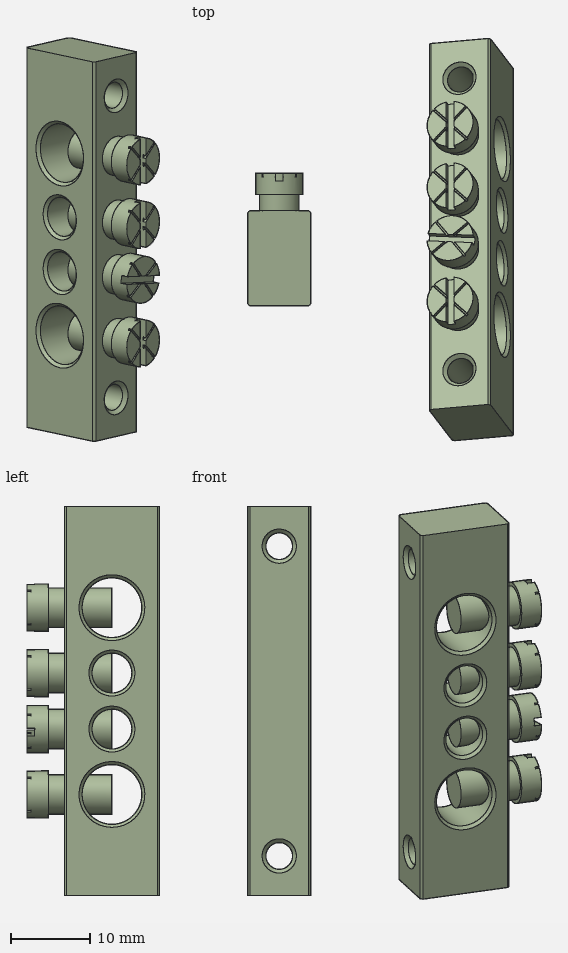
import cadquery as cq


block_width = 8.0
block_depth = 12.0
block_length = 49.0
edge_chamfer = 0.3

mount_diameter = 3.35
mount_chamfer = 0.5
mount_end_distance = 5.0
mount_z = block_length / 2 - mount_end_distance

large_wire_diameter = 7.5
small_wire_diameter = 5.0
wire_chamfer = 0.4
outer_station_z = 11.75
inner_station_z = 3.55

shank_diameter = 5.0
head_diameter = 6.0
head_length = 2.7
screw_tip_y = 0.0
overall_depth = 16.7
screw_top_y = overall_depth - block_depth / 2
slot_width = 1.0
slot_depth = 1.0
tick_width = 0.25
tick_depth = 0.5
tick_angles = (45, -45)

stations = [
    (outer_station_z, large_wire_diameter, 0),
    (inner_station_z, small_wire_diameter, 0),
    (-inner_station_z, small_wire_diameter, 82.5),
    (-outer_station_z, large_wire_diameter, 0),
]


def cylinder_along_y(diameter, y_start, y_end):
    """Cylinder on the Y axis between two Y positions."""
    return cq.Workplane("XZ", origin=(0, y_start, 0)).circle(diameter / 2).extrude(y_start - y_end)


def chamfered_hole(diameter, length, chamfer):
    """Cutter along Z for a through hole that is chamfered at both ends."""
    radius = diameter / 2
    half_length = length / 2
    profile = [
        (0, -half_length),
        (radius + chamfer, -half_length),
        (radius, chamfer - half_length),
        (radius, half_length - chamfer),
        (radius + chamfer, half_length),
        (0, half_length),
    ]
    return cq.Workplane("XZ").polyline(profile).close().revolve(360, (0, 0, 0), (0, 1, 0))


def make_block():
    """Block with mounting holes, wire holes and a hole for each screw."""
    block = cq.Workplane("XY").box(block_width, block_depth, block_length)
    block = block.edges("|Z").chamfer(edge_chamfer)

    mount_hole = chamfered_hole(mount_diameter, block_depth, mount_chamfer).rotate((0, 0, 0), (1, 0, 0), 90)
    for z in (mount_z, -mount_z):
        block = block.cut(mount_hole.translate((0, 0, z)))

    screw_hole = cylinder_along_y(shank_diameter, screw_tip_y, block_depth / 2)
    for z, wire_diameter, _ in stations:
        wire_hole = chamfered_hole(wire_diameter, block_width, wire_chamfer).rotate((0, 0, 0), (0, 1, 0), 90)
        block = block.cut(wire_hole.translate((0, 0, z)))
        block = block.cut(screw_hole.translate((0, 0, z)))
    return block


def head_groove(width, depth, angle):
    """Cutter for a straight groove across the screw head, turned away from Z about the screw axis."""
    groove = cq.Workplane("XY").box(width, depth, head_diameter)
    groove = groove.translate((0, screw_top_y - depth / 2, 0))
    return groove.rotate((0, 0, 0), (0, 1, 0), angle)


def make_screw(z, slot_angle):
    """Cheese-head screw with a driving slot and two shallow diagonal tick grooves."""
    head_y = screw_top_y - head_length
    shank = cylinder_along_y(shank_diameter, screw_tip_y, head_y)
    head = cylinder_along_y(head_diameter, head_y, screw_top_y)
    screw = shank.union(head)
    screw = screw.cut(head_groove(slot_width, slot_depth, slot_angle))
    for tick_angle in tick_angles:
        screw = screw.cut(head_groove(tick_width, tick_depth, slot_angle + tick_angle))
    return screw.translate((0, 0, z))


block = make_block()
screws = [make_screw(z, slot_angle) for z, _, slot_angle in stations]

result = cq.Compound.makeCompound([block.solids().val(), *[screw.solids().val() for screw in screws]])